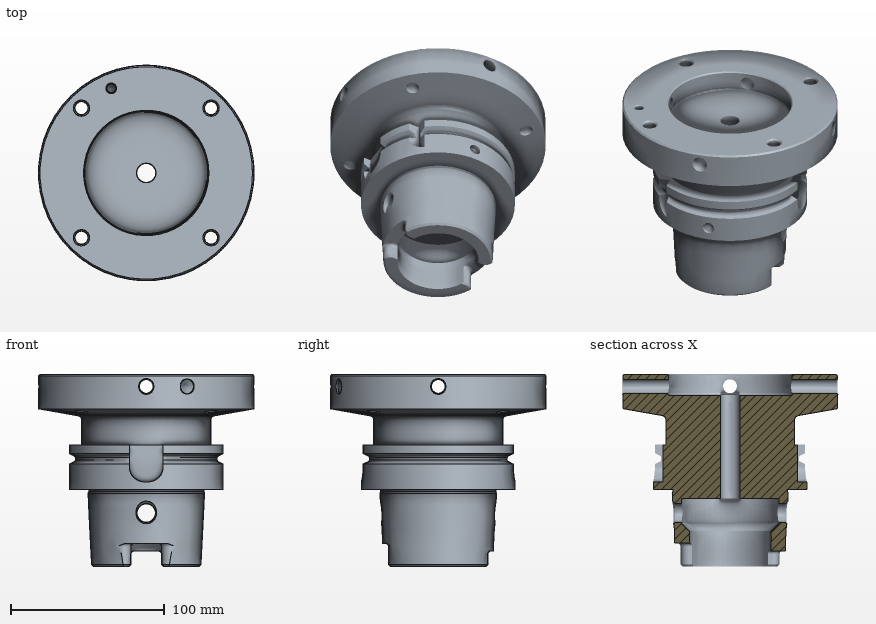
import cadquery as cq
import math


top_z = 74.9
disc_radius = 70.0
disc_edge_chamfer = 1.0
disc_bottom_z = 52.5
disc_cone_angle = 10.0
collar_radius = 42.0
collar_fillet = 2.5

recess_radius = 40.0
recess_depth = 13.5
recess_chamfer = 0.7
recess_groove_depth = 0.5
recess_groove_height = 2.0
recess_groove_fillet = 1.1
center_hole_diameter = 12.4

hole_circle_radius = 59.5
bolt_hole_diameter = 8.5
bolt_hole_mouth_diameter = 10.5
bolt_hole_count = 4
pin_hole_diameter = 5.6
pin_hole_mouth_diameter = 6.8
pin_hole_depth = 8.0
index_angle = 112.5

side_hole_z = top_z - 7.9
side_hole_diameter = 9.0
side_hole_mouth_diameter = 10.2
side_hole_count = 4
blind_hole_diameter = 9.6
blind_hole_depth = 1.5

flange_radius = 50.0
flange_height = 29.0
groove_z = 20.0
groove_floor_radius = 46.1
groove_mouth_width = 7.0
groove_floor_width = 3.0
groove_floor_fillet = 1.0

key_slot_width = 22.0
key_slot_floor_y = 44.0
slot_bottom_z = 5.0
slot_corner_radius = 10.0
notch_wall_x = 31.5
notch_floor_y = 31.5

dimple_z = 8.4
dimple_diameter = 7.5
dimple_depth = 3.0

shank_length = 50.0
gauge_depth = 10.0
gauge_radius = 37.5
taper_slope = 1 / 20
relief_height = 2.4
relief_radius = 37.4
shank_end_chamfer = 1.3
shank_bore_radius = 26.5
clamp_bore_radius = 31.5
clamp_cone_bottom_z = -27.0
shank_bore_top_z = -6.0
access_hole_z = -15.2
access_hole_diameter = 12.0
access_hole_mouth_diameter = 14.6

drive_slot_width = 20.0
drive_slot_edge_radius = 5.0
drive_slot_apex_y = 32.2
drive_slot_corner_fillet = 2.0
front_drive_slot_depth = 15.0
back_drive_slot_depth = 10.0

drill_point_angle = 118.0
overshoot = 20.0
countersink_overshoot = 2.0
selection_margin = 0.01


def taper_radius(z):
    return gauge_radius + (z + gauge_depth) * taper_slope


def edges_near_z(z, reach=disc_radius):
    """Selects the edges whose centres lie at height z and within reach of the axis in X and Y."""
    return cq.selectors.BoxSelector(
        (-reach, -reach, z - selection_margin), (reach, reach, z + selection_margin)
    )


def turned_body():
    collar_top_z = disc_bottom_z - (disc_radius - collar_radius) * math.tan(math.radians(disc_cone_angle))
    half_mouth = groove_mouth_width / 2
    half_floor = groove_floor_width / 2
    outline = [
        (0, top_z),
        (disc_radius - disc_edge_chamfer, top_z),
        (disc_radius, top_z - disc_edge_chamfer),
        (disc_radius, disc_bottom_z),
        (collar_radius, collar_top_z),
        (collar_radius, flange_height),
        (flange_radius, flange_height),
        (flange_radius, groove_z + half_mouth),
        (groove_floor_radius, groove_z + half_floor),
        (groove_floor_radius, groove_z - half_floor),
        (flange_radius, groove_z - half_mouth),
        (flange_radius, 0),
        (relief_radius, 0),
        (relief_radius, -relief_height / 2),
        (taper_radius(-relief_height), -relief_height),
        (taper_radius(shank_end_chamfer - shank_length), shank_end_chamfer - shank_length),
        (taper_radius(-shank_length) - shank_end_chamfer, -shank_length),
        (0, -shank_length),
    ]
    body = cq.Workplane("XZ").polyline(outline).close().revolve(360, (0, 0), (0, 1))
    body = body.edges(edges_near_z(collar_top_z)).fillet(collar_fillet)
    for side in (-1, 1):
        floor_edge = edges_near_z(groove_z + side * half_floor)
        body = body.edges(floor_edge).fillet(groove_floor_fillet)
    return body


def recess_tool():
    floor_z = top_z - recess_depth
    groove_radius = recess_radius + recess_groove_depth
    outline = [
        (0, top_z),
        (recess_radius + recess_chamfer, top_z),
        (recess_radius, top_z - recess_chamfer),
        (recess_radius, floor_z + recess_groove_height),
        (groove_radius, floor_z + recess_groove_height),
        (groove_radius, floor_z),
        (0, floor_z),
    ]
    tool = cq.Workplane("XZ").polyline(outline).close().revolve(360, (0, 0), (0, 1))
    return tool.edges(edges_near_z(floor_z)).fillet(recess_groove_fillet)


def cylinder(diameter, start, direction, length):
    return cq.Workplane(cq.Solid.makeCylinder(diameter / 2, length, cq.Vector(*start), cq.Vector(*direction)))


def drilled(diameter, depth, start, direction):
    """A blind hole with a drill point beyond its full-diameter depth."""
    radius = diameter / 2
    point_length = radius / math.tan(math.radians(drill_point_angle / 2))
    axis = cq.Vector(*direction)
    point_start = cq.Vector(*start) + axis * depth
    point = cq.Solid.makeCone(radius, 0, point_length, point_start, axis)
    return cylinder(diameter, start, direction, depth).union(cq.Workplane(point))


def polar(radius, angle, z):
    return (radius * math.cos(math.radians(angle)), radius * math.sin(math.radians(angle)), z)


def countersink(mouth_diameter, hole_diameter, start, direction):
    """A 45 degree cone with its mouth diameter at start, continued outside the part."""
    axis = cq.Vector(*direction)
    narrow_radius = hole_diameter / 2
    depth = mouth_diameter / 2 - narrow_radius
    wide_radius = narrow_radius + depth + countersink_overshoot
    wide_end = cq.Vector(*start) - axis * countersink_overshoot
    cone = cq.Solid.makeCone(wide_radius, narrow_radius, depth + countersink_overshoot, wide_end, axis)
    return cq.Workplane(cone)


def cut_disc_holes(body):
    body = body.cut(recess_tool())
    for i in range(bolt_hole_count):
        angle = 45 + i * 360 / bolt_hole_count
        mouth = polar(hole_circle_radius, angle, top_z)
        depth = top_z - flange_height
        body = body.cut(cylinder(bolt_hole_diameter, mouth, (0, 0, -1), depth))
        body = body.cut(countersink(bolt_hole_mouth_diameter, bolt_hole_diameter, mouth, (0, 0, -1)))
    for i in range(side_hole_count):
        angle = i * 360 / side_hole_count
        mouth = polar(disc_radius, angle, side_hole_z)
        inward = polar(-1, angle, 0)
        body = body.cut(cylinder(side_hole_diameter, mouth, inward, disc_radius))
        body = body.cut(countersink(side_hole_mouth_diameter, side_hole_diameter, mouth, inward))
    pin_mouth = polar(hole_circle_radius, index_angle, top_z)
    body = body.cut(drilled(pin_hole_diameter, pin_hole_depth, pin_mouth, (0, 0, -1)))
    body = body.cut(countersink(pin_hole_mouth_diameter, pin_hole_diameter, pin_mouth, (0, 0, -1)))
    blind_mouth = polar(-disc_radius, index_angle, side_hole_z)
    return body.cut(drilled(blind_hole_diameter, blind_hole_depth, blind_mouth, polar(1, index_angle, 0)))


def slot_block(x_min, x_max, y_min, y_max):
    """A flange slot open at the flange top, with its lower corners rounded about Y."""
    rounding_top = flange_height + 2 * slot_corner_radius
    block = cq.Workplane("XY").box(
        x_max - x_min, y_max - y_min, rounding_top - slot_bottom_z, centered=False
    )
    block = block.translate((x_min, y_min, slot_bottom_z))
    block = block.edges("|Y and <Z").fillet(slot_corner_radius)
    band = cq.Workplane("XY").circle(flange_radius + overshoot).circle(1).extrude(flange_height)
    return block.intersect(band)


def cut_flange(body):
    outside = flange_radius + overshoot
    half = key_slot_width / 2
    body = body.cut(slot_block(-half, half, -outside, -key_slot_floor_y))
    body = body.cut(slot_block(-half, half, key_slot_floor_y, outside))
    body = body.cut(slot_block(-outside, -notch_wall_x, notch_floor_y, outside))
    return body.cut(drilled(dimple_diameter, dimple_depth, (-flange_radius, 0, dimple_z), (1, 0, 0)))


def drive_slot_outline(z):
    """Plan of a slot toward -Y whose walls round outward, then run off square to the radius."""
    half = drive_slot_width / 2
    radius = drive_slot_edge_radius
    center_x = half + radius
    center_y = radius - drive_slot_apex_y
    end_angle = math.atan2(center_y, center_x)
    mid_angle = (end_angle - math.pi) / 2
    mid_x = center_x + radius * math.cos(mid_angle)
    mid_y = center_y + radius * math.sin(mid_angle)
    end_x = center_x + radius * math.cos(end_angle)
    end_y = center_y + radius * math.sin(end_angle)
    runoff_x = end_x - overshoot * math.sin(end_angle)
    runoff_y = end_y + overshoot * math.cos(end_angle)
    outer_y = -gauge_radius - overshoot
    return (
        cq.Workplane("XY", origin=(0, 0, z))
        .moveTo(half, 0)
        .lineTo(half, center_y)
        .threePointArc((mid_x, mid_y), (end_x, end_y))
        .lineTo(runoff_x, runoff_y)
        .lineTo(runoff_x, outer_y)
        .lineTo(-runoff_x, outer_y)
        .lineTo(-runoff_x, runoff_y)
        .lineTo(-end_x, end_y)
        .threePointArc((-mid_x, mid_y), (-half, center_y))
        .lineTo(-half, 0)
        .close()
    )


def drive_slot_tool(depth):
    """A drive slot with a rounded ceiling and a 45 degree chamfer around its mouth."""
    slot = drive_slot_outline(-shank_length).extrude(depth)
    slot = slot.faces(">Z").edges().fillet(drive_slot_corner_fillet)
    chamfer_top = drive_slot_outline(shank_end_chamfer - shank_length)
    return slot.union(chamfer_top.extrude(-shank_end_chamfer, taper=-45))


def shank_bore():
    """The hollow of the shank: a plain entry that widens by a 45 degree cone into the clamping bore."""
    cone_top_z = clamp_cone_bottom_z + clamp_bore_radius - shank_bore_radius
    outline = [
        (0, -shank_length),
        (shank_bore_radius, -shank_length),
        (shank_bore_radius, clamp_cone_bottom_z),
        (clamp_bore_radius, cone_top_z),
        (clamp_bore_radius, shank_bore_top_z),
        (0, shank_bore_top_z),
    ]
    return cq.Workplane("XZ").polyline(outline).close().revolve(360, (0, 0), (0, 1))


def cut_shank(body):
    body = body.cut(drive_slot_tool(front_drive_slot_depth))
    body = body.cut(drive_slot_tool(back_drive_slot_depth).rotate((0, 0, 0), (0, 0, 1), 180))
    body = body.cut(shank_bore())
    start = (0, -gauge_radius, access_hole_z)
    body = body.cut(cylinder(access_hole_diameter, start, (0, 1, 0), 2 * gauge_radius))
    for side in (-1, 1):
        mouth = (0, side * taper_radius(access_hole_z), access_hole_z)
        cone = countersink(access_hole_mouth_diameter, access_hole_diameter, mouth, (0, -side, 0))
        body = body.cut(cone)
    return body


def cut_center_hole(body):
    start = (0, 0, -shank_length)
    return body.cut(cylinder(center_hole_diameter, start, (0, 0, 1), shank_length + top_z))


result = cut_center_hole(cut_flange(cut_disc_holes(cut_shank(turned_body()))))